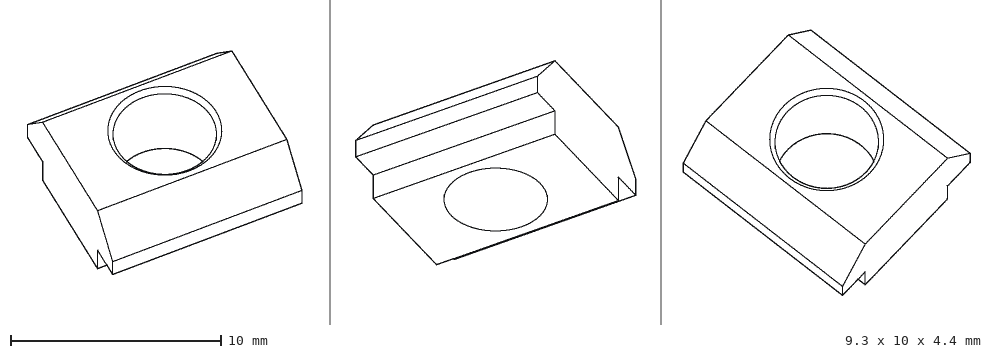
import cadquery as cq

length = 10.0
width = 9.3
height = 4.4

neck_width = 6.0
neck_height = 1.4
flange_edge_top = 2.38

hole_diameter = 4.92
countersink_diameter = 5.42
countersink_depth = (countersink_diameter - hole_diameter) / 2


def make_body():
    """Extrude the T-shaped section with sloped shoulders along Y."""
    half_neck = neck_width / 2
    half_width = width / 2
    right_side = [
        (half_neck, 0),
        (half_neck, neck_height),
        (half_width, neck_height),
        (half_width, flange_edge_top),
        (half_neck, height),
    ]
    left_side = [(-x, z) for x, z in reversed(right_side)]
    return (
        cq.Workplane("XZ")
        .polyline(right_side + left_side)
        .close()
        .extrude(length / 2, both=True)
    )


def make_hole():
    """Cutter for the vertical hole and its countersink."""
    bore = cq.Workplane("XY").circle(hole_diameter / 2).extrude(height)
    countersink = (
        cq.Workplane("XY")
        .workplane(offset=height - countersink_depth)
        .circle(hole_diameter / 2)
        .workplane(offset=countersink_depth)
        .circle(countersink_diameter / 2)
        .loft(ruled=True)
    )
    return bore.union(countersink)


result = make_body().cut(make_hole())